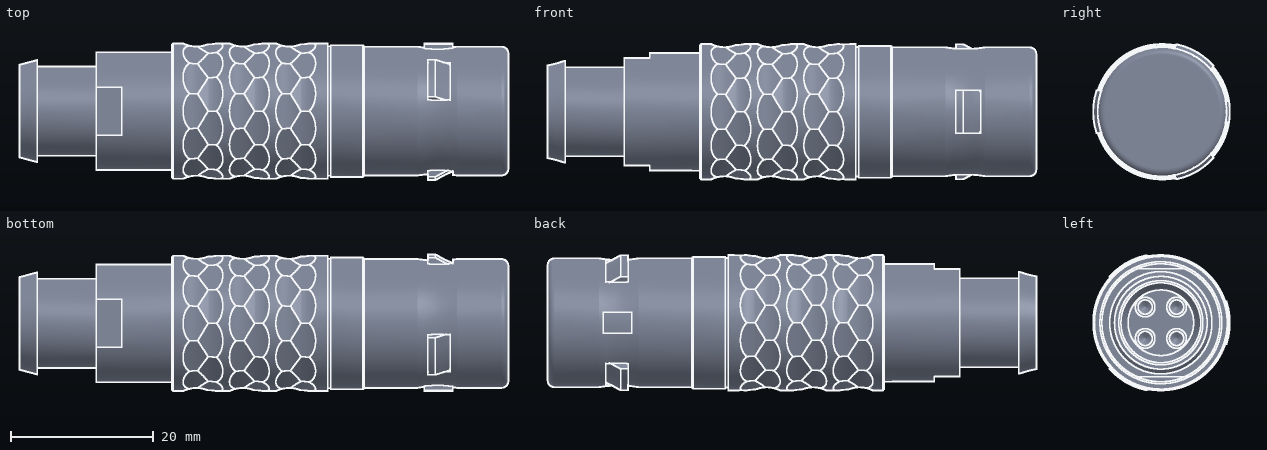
import cadquery as cq


LENGTH = 68.51
COLLAR_END = 2.5
BODY_START = 10.75
FLAT_END = 14.3
SLEEVE_START = 21.35
SLEEVE_END = 43.2
RING_START = 43.6
RING_END = 48.3
BAND_START = 55.75
BAND_END = 61.3

COLLAR_TIP_RADIUS = 6.5
COLLAR_RADIUS = 7.17
NECK_RADIUS = 6.27
BODY_RADIUS = 8.27
SLEEVE_RADIUS = 9.5
RING_GAP_RADIUS = 9.1
RING_RADIUS = 9.25
SHELL_RADIUS = 9.05
BAND_RADIUS = 8.8

SLEEVE_CHAMFER = 0.2
SLEEVE_RECESS_RADIUS = 8.55
SLEEVE_RECESS_DEPTH = 0.5
RING_CHAMFER = 0.2
NOSE_FILLET = 1.0
FLAT_HEIGHT = 7.55

DIMPLES_PER_ROW = 12
DIMPLE_STEP = 360 / DIMPLES_PER_ROW
ROW_PAIRS = 3
FIRST_ROW_X = 24.8
ROW_PITCH = 1.8
PAIR_PITCH = 6.5
DIMPLE_CURVE_RADIUS = 4.25
DIMPLE_DEPTH = 0.44
DIMPLE_CUTTER_LENGTH = 8.0

FRONT_LATCH_ANGLE = 0
SIDE_LATCH_ANGLES = (120, 240)
LATCH_START = 57.2
LATCH_RAMP_START = 58.25
FRONT_LATCH_END = 60.7
SIDE_LATCH_END = 60.35
LATCH_WIDTH = 6.0
LATCH_RADIUS = 9.68
LATCH_RAMP_END_RADIUS = 8.45
LATCH_ROOT_RADIUS = 8.0
WINDOW_HEIGHT = 4.0
KEY_START = 56.7
KEY_END = 60.7
KEY_WIDTH = 3.0

BORE_RADIUS = 5.9
BORE_DEPTH = 20.0
STEP_RADIUS = 5.6
STEP_DEPTH = 22.0
SHOULDER_RADIUS = 4.95
SHOULDER_DEPTH = 23.0
INSULATOR_RADIUS = 4.6
INSULATOR_FACE = 24.0
CUP_OFFSET = 2.2
CUP_OUTER_RADIUS = 1.38
CUP_INNER_RADIUS = 1.0
CUP_HEIGHT = 2.0
CUP_HOLE_DEPTH = 4.0
CUP_TIP_DEPTH = 0.6


def turned(points):
    """Revolve a closed (x, radius) outline about the X axis."""
    outline = cq.Workplane("XY").polyline(points).close()
    return outline.revolve(360, (0, 0, 0), (1, 0, 0))


def rotated(shape, angle):
    return shape.rotate((0, 0, 0), (1, 0, 0), angle)


def band_cutter():
    """The ring that hollows the shallow concave band out of the shell."""
    middle = (BAND_START + BAND_END) / 2
    return (
        cq.Workplane("XY")
        .moveTo(BAND_START, SHELL_RADIUS)
        .threePointArc((middle, BAND_RADIUS), (BAND_END, SHELL_RADIUS))
        .lineTo(BAND_END, SLEEVE_RADIUS)
        .lineTo(BAND_START, SLEEVE_RADIUS)
        .close()
        .revolve(360, (0, 0, 0), (1, 0, 0))
    )


def outer_body():
    body = turned([
        (0, 0),
        (0, COLLAR_TIP_RADIUS),
        (COLLAR_END, COLLAR_RADIUS),
        (COLLAR_END, NECK_RADIUS),
        (BODY_START, NECK_RADIUS),
        (BODY_START, BODY_RADIUS),
        (SLEEVE_START + SLEEVE_RECESS_DEPTH, BODY_RADIUS),
        (SLEEVE_START + SLEEVE_RECESS_DEPTH, SLEEVE_RECESS_RADIUS),
        (SLEEVE_START, SLEEVE_RECESS_RADIUS),
        (SLEEVE_START, SLEEVE_RADIUS - SLEEVE_CHAMFER),
        (SLEEVE_START + SLEEVE_CHAMFER, SLEEVE_RADIUS),
        (SLEEVE_END, SLEEVE_RADIUS),
        (SLEEVE_END, RING_GAP_RADIUS),
        (RING_START, RING_GAP_RADIUS),
        (RING_START, RING_RADIUS),
        (RING_END - RING_CHAMFER, RING_RADIUS),
        (RING_END, SHELL_RADIUS),
        (LENGTH, SHELL_RADIUS),
        (LENGTH, 0),
    ])
    return body.faces(">X").edges().fillet(NOSE_FILLET).cut(band_cutter())


def wrench_flat_cutter():
    """Everything beyond both flats at the cable end of the body."""
    size = 2 * SLEEVE_RADIUS
    length = FLAT_END - BODY_START
    block = cq.Workplane("XY").box(length, size, size)
    core = cq.Workplane("XY").box(length, size, 2 * FLAT_HEIGHT)
    return block.cut(core).translate((BODY_START + length / 2, 0, 0))


def dimple_row(x, start_angle):
    """Cylinders lying tangentially around the sleeve at one station."""
    centre_radius = SLEEVE_RADIUS - DIMPLE_DEPTH + DIMPLE_CURVE_RADIUS
    cutter = (
        cq.Workplane("XY")
        .center(x, -centre_radius)
        .circle(DIMPLE_CURVE_RADIUS)
        .extrude(DIMPLE_CUTTER_LENGTH / 2, both=True)
    )
    return [
        rotated(cutter, start_angle + i * DIMPLE_STEP)
        for i in range(DIMPLES_PER_ROW)
    ]


def cut_grip(body):
    for pair in range(ROW_PAIRS):
        x = FIRST_ROW_X + pair * PAIR_PITCH
        cutters = dimple_row(x, 0) + dimple_row(x + ROW_PITCH, DIMPLE_STEP / 2)
        for cutter in cutters:
            body = body.cut(cutter)
    return body


def side_block(start, end, width):
    """A block on the -Y side, from the latch root outwards."""
    block = cq.Workplane("XY").box(end - start, WINDOW_HEIGHT, width)
    centre_radius = LATCH_ROOT_RADIUS + WINDOW_HEIGHT / 2
    return block.translate(((start + end) / 2, -centre_radius, 0))


def add_latch(body, angle, end):
    """A wedge that ramps down into a window in the band."""
    ramp = turned([
        (LATCH_START, 0),
        (LATCH_START, LATCH_RADIUS),
        (LATCH_RAMP_START, LATCH_RADIUS),
        (end, LATCH_RAMP_END_RADIUS),
        (end, 0),
    ])
    window = side_block(LATCH_START, end, LATCH_WIDTH)
    latch = ramp.intersect(window)
    return body.cut(rotated(window, angle)).union(rotated(latch, angle))


def add_key(body):
    disc = turned([
        (KEY_START, 0),
        (KEY_START, SLEEVE_RADIUS),
        (KEY_END, SLEEVE_RADIUS),
        (KEY_END, 0),
    ])
    key = disc.intersect(side_block(KEY_START, KEY_END, KEY_WIDTH))
    return body.union(rotated(key, 180))


def bore_cutter():
    return turned([
        (0, 0),
        (0, BORE_RADIUS),
        (BORE_DEPTH, BORE_RADIUS),
        (BORE_DEPTH, STEP_RADIUS),
        (STEP_DEPTH, STEP_RADIUS),
        (SHOULDER_DEPTH, SHOULDER_RADIUS),
        (INSULATOR_FACE, INSULATOR_RADIUS),
        (INSULATOR_FACE, 0),
    ])


def add_solder_cups(body):
    rim = INSULATOR_FACE - CUP_HEIGHT
    hole_end = rim + CUP_HOLE_DEPTH
    cup = turned([
        (rim, 0),
        (rim, CUP_OUTER_RADIUS),
        (INSULATOR_FACE, CUP_OUTER_RADIUS),
        (INSULATOR_FACE, 0),
    ])
    hole = turned([
        (rim, 0),
        (rim, CUP_INNER_RADIUS),
        (hole_end, CUP_INNER_RADIUS),
        (hole_end + CUP_TIP_DEPTH, 0),
    ])
    for y in (-CUP_OFFSET, CUP_OFFSET):
        for z in (-CUP_OFFSET, CUP_OFFSET):
            place = (0, y, z)
            body = body.union(cup.translate(place)).cut(hole.translate(place))
    return body


plug = outer_body().cut(wrench_flat_cutter())
plug = cut_grip(plug)
plug = add_latch(plug, FRONT_LATCH_ANGLE, FRONT_LATCH_END)
for latch_angle in SIDE_LATCH_ANGLES:
    plug = add_latch(plug, latch_angle, SIDE_LATCH_END)
plug = add_key(plug)
plug = plug.cut(bore_cutter())
result = add_solder_cups(plug)